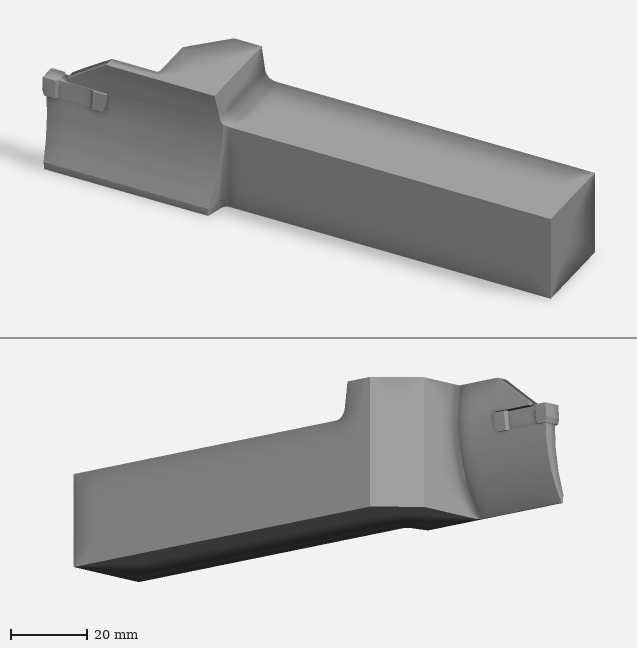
import cadquery as cq
import math

overall_length = 150.0
shank_size = 25.0

depth = 31.5
height = 35.0
shank_front = depth - shank_size
block_left = 33.0
block_chamfer = 10.0

top_flare_end = 55.5
top_flare_radius = 3.3
top_flare_angle = 8
side_flare_end = 54.9
side_flare_radius = 2.0
side_flare_angle = 14

cutting_height = 25.0
blade_front = 5.5
blade_back = 9.2
front_radius = 50.0
back_radius = 40.5
root_fillet = 0.9
blade_toe = 3.2
clamp_nose = 6.8
clamp_nose_height = 26.2
clamp_top = 19.2

insert_length = 18.9
seat_height = 20.0
insert_height = cutting_height - seat_height
slot_gap = 0.5
head_length = 3.9
transition = 0.8
head_front = 5.1
head_back = 10.0
neck_inset = 0.8
neck_drop = 0.2
side_lean = 0.8
upper_relief = 0.2
lower_relief = 0.8
relief_break = 21.5
seat_left = 1.0


def flare(outer, base, end_x, radius, slant):
    """Four points (x, offset): the slanted line's tip, then the arc's start, middle and end.

    The slanted line starts at offset `outer` and leans `slant` degrees. The arc ends
    at `end_x`, tangent to the shank face at offset `base`.
    """
    side = math.copysign(1, outer - base)
    center = base + side * radius

    def arc_point(degrees):
        angle = math.radians(degrees)
        return (end_x - radius * math.cos(angle), center - side * radius * math.sin(angle))

    start = arc_point(slant)
    middle = arc_point((slant + 90) / 2)
    tip = (start[0] - abs(outer - start[1]) * math.tan(math.radians(slant)), outer)
    return tip, start, middle, (end_x, base)


def x_cylinder(apex_y, radius):
    """Cylinder along X that reaches farthest in +Y at the cutting height."""
    return (
        cq.Workplane("YZ")
        .center(apex_y - radius, cutting_height)
        .circle(radius)
        .extrude(overall_length)
    )


def make_side_body():
    """Side outline of the holder, with the insert slot open toward -X."""
    tip, start, middle, end = flare(
        height, shank_size, top_flare_end, top_flare_radius, top_flare_angle
    )
    slot_top = cutting_height + slot_gap
    return (
        cq.Workplane("XZ")
        .moveTo(blade_toe, 0)
        .lineTo(seat_left, seat_height)
        .lineTo(insert_length - lower_relief, seat_height)
        .lineTo(insert_length - upper_relief, relief_break)
        .lineTo(insert_length, cutting_height)
        .lineTo(insert_length, slot_top)
        .lineTo(clamp_nose, slot_top)
        .lineTo(clamp_nose, clamp_nose_height)
        .lineTo(clamp_top, height)
        .lineTo(*tip)
        .lineTo(*start)
        .threePointArc(middle, end)
        .lineTo(overall_length, shank_size)
        .lineTo(overall_length, 0)
        .close()
        .extrude(-depth)
    )


def make_plan_body():
    """Plan outline of the holder, with the chamfered block corner."""
    tip, start, middle, end = flare(
        0, shank_front, side_flare_end, side_flare_radius, side_flare_angle
    )
    return (
        cq.Workplane("XY")
        .moveTo(0, 0)
        .lineTo(*tip)
        .lineTo(*start)
        .threePointArc(middle, end)
        .lineTo(overall_length, shank_front)
        .lineTo(overall_length, depth)
        .lineTo(block_left + block_chamfer, depth)
        .lineTo(block_left, depth - block_chamfer)
        .lineTo(0, depth - block_chamfer)
        .close()
        .extrude(height)
    )


def make_blade_clearance():
    """Space behind the blade, rounded where the blade meets the block."""
    space = cq.Workplane("XY").box(block_left, depth, height, centered=False)
    space = space.cut(x_cylinder(blade_back, back_radius))
    root = cq.selectors.BoxSelector(
        (block_left - root_fillet, 0, 0),
        (block_left + root_fillet, blade_back + root_fillet, height),
    )
    return space.edges(root).fillet(root_fillet)


def make_holder():
    return (
        make_side_body()
        .intersect(make_plan_body())
        .cut(x_cylinder(blade_front, front_radius))
        .cut(make_blade_clearance())
    )


def insert_plan(shift):
    """Points of the dumbbell plan, moved along Y by `shift`."""
    front = head_front + shift
    back = head_back + shift
    near_neck = head_length + transition
    far_head = insert_length - head_length
    far_neck = far_head - transition
    return [
        (0, front),
        (head_length, front),
        (near_neck, front + neck_inset),
        (far_neck, front + neck_inset),
        (far_head, front),
        (insert_length, front),
        (insert_length, back),
        (far_head, back),
        (far_neck, back - neck_inset),
        (near_neck, back - neck_inset),
        (head_length, back),
        (0, back),
    ]


def make_insert():
    """Leaning dumbbell bar with two-step relief on both ends and a slightly lower neck."""
    neck_start = head_length + transition
    neck_top = cutting_height - neck_drop
    bar = (
        cq.Workplane("XY", origin=(0, 0, seat_height))
        .polyline(insert_plan(-side_lean))
        .close()
        .workplane(offset=insert_height)
        .polyline(insert_plan(0))
        .close()
        .loft(ruled=True)
    )
    side_outline = (
        cq.Workplane("XZ")
        .polyline([
            (lower_relief, seat_height),
            (upper_relief, relief_break),
            (0, cutting_height),
            (neck_start, cutting_height),
            (neck_start, neck_top),
            (insert_length - neck_start, neck_top),
            (insert_length - neck_start, cutting_height),
            (insert_length, cutting_height),
            (insert_length - upper_relief, relief_break),
            (insert_length - lower_relief, seat_height),
        ])
        .close()
        .extrude(-depth)
    )
    return bar.intersect(side_outline)


holder = make_holder()
insert = make_insert()
result = cq.Compound.makeCompound([holder.val(), insert.val()])